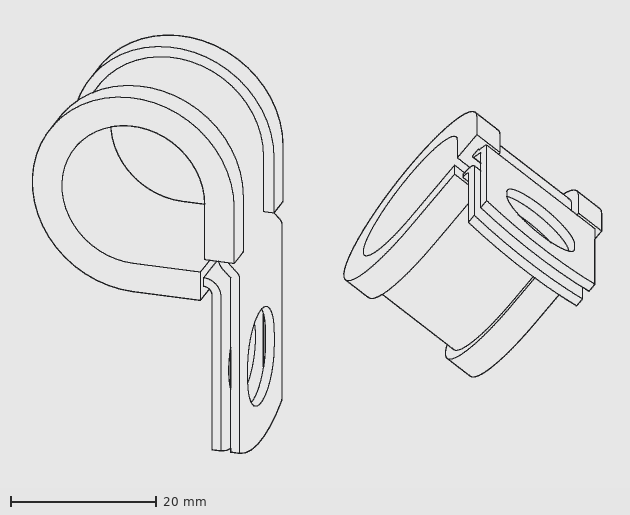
import cadquery as cq
import math

total_height = 54.25
cushion_width = 22.1
cushion_radius = 14.6
bore_radius = 10.3
groove_width = 13.85
strap_width = 19.15
strap_thickness = 1.3
strap_outer_radius = 13.1
side_end_drop = 8.35
bottom_end_reach = 9.7
outer_leg_face = 14.9
bend_inner_radius = 1.2
jog_angle = math.radians(45)
hole_diameter = 12.0
slot_length = 14.0
hole_above_tip = 12.7
tip_sag = 2.1

strap_inner_radius = strap_outer_radius - strap_thickness
bend_outer_radius = bend_inner_radius + strap_thickness
jog_inner_radius = strap_thickness
jog_outer_radius = jog_inner_radius + strap_thickness
leg_bottom = cushion_radius - total_height
outer_leg_inner_face = outer_leg_face - strap_thickness


def extrude_centred(outline, width):
    """Extrude a closed XZ outline symmetrically about Y = 0."""
    return outline.extrude(width / 2, both=True)


def polar(centre, radius, angle):
    """Point at a distance and an angle from a centre."""
    return (centre[0] + radius * math.cos(angle), centre[1] + radius * math.sin(angle))


def loop(outer, inner, width):
    """Three-quarter ring with a straight tail down the side and one along the bottom."""
    outline = (
        cq.Workplane("XZ")
        .moveTo(outer, -side_end_drop)
        .lineTo(outer, 0)
        .threePointArc(polar((0, 0), outer, math.radians(135)), (0, -outer))
        .lineTo(bottom_end_reach, -outer)
        .lineTo(bottom_end_reach, -inner)
        .lineTo(0, -inner)
        .threePointArc(polar((0, 0), inner, math.radians(135)), (inner, 0))
        .lineTo(inner, -side_end_drop)
        .close()
    )
    return extrude_centred(outline, width)


def bent_leg():
    """Leg that bends down from the bottom tail of the loop."""
    centre = (bottom_end_reach, -strap_inner_radius - bend_outer_radius)
    outline = (
        cq.Workplane("XZ")
        .moveTo(*polar(centre, bend_outer_radius, math.pi / 2))
        .threePointArc(polar(centre, bend_outer_radius, math.pi / 4), polar(centre, bend_outer_radius, 0))
        .lineTo(centre[0] + bend_outer_radius, leg_bottom)
        .lineTo(centre[0] + bend_inner_radius, leg_bottom)
        .lineTo(*polar(centre, bend_inner_radius, 0))
        .threePointArc(
            polar(centre, bend_inner_radius, math.pi / 4),
            polar(centre, bend_inner_radius, math.pi / 2),
        )
        .close()
    )
    return extrude_centred(outline, strap_width)


def jogged_leg():
    """Leg that jogs outward below the side tail, then runs straight down."""
    upper = (strap_outer_radius + jog_inner_radius, -side_end_drop)
    start = math.pi
    middle = math.pi + jog_angle / 2
    end = math.pi + jog_angle
    slope_start = polar(upper, jog_outer_radius, end)
    corner_z = slope_start[1] - (outer_leg_inner_face - slope_start[0]) / math.tan(jog_angle)
    corner = (outer_leg_inner_face, corner_z)
    outline = (
        cq.Workplane("XZ")
        .moveTo(*polar(upper, jog_outer_radius, start))
        .threePointArc(polar(upper, jog_outer_radius, middle), slope_start)
        .lineTo(*corner)
        .lineTo(outer_leg_inner_face, leg_bottom)
        .lineTo(outer_leg_face, leg_bottom)
        .lineTo(outer_leg_face, corner_z)
        .threePointArc(
            polar(corner, strap_thickness, jog_angle / 2),
            polar(corner, strap_thickness, jog_angle),
        )
        .lineTo(*polar(upper, jog_inner_radius, end))
        .threePointArc(
            polar(upper, jog_inner_radius, middle),
            polar(upper, jog_inner_radius, start),
        )
        .close()
    )
    return extrude_centred(outline, strap_width)


def leg_silhouette():
    """Block along X with the legs' rounded tip, used to trim both legs."""
    half = strap_width / 2
    return (
        cq.Workplane("YZ")
        .moveTo(-half, 0)
        .lineTo(-half, leg_bottom + tip_sag)
        .threePointArc((0, leg_bottom), (half, leg_bottom + tip_sag))
        .lineTo(half, 0)
        .close()
        .extrude(outer_leg_face)
    )


cushion = loop(cushion_radius, bore_radius, cushion_width)
groove = loop(cushion_radius, strap_outer_radius, groove_width)
cushion = cushion.cut(groove)

hole_sketch = cq.Workplane("YZ").center(0, leg_bottom + hole_above_tip)
bolt_hole = hole_sketch.circle(hole_diameter / 2).extrude(outer_leg_face)
bolt_slot = hole_sketch.slot2D(slot_length, hole_diameter, 90).extrude(outer_leg_face)
legs = bent_leg().cut(bolt_hole).union(jogged_leg().cut(bolt_slot)).intersect(leg_silhouette())

result = cushion.union(legs)